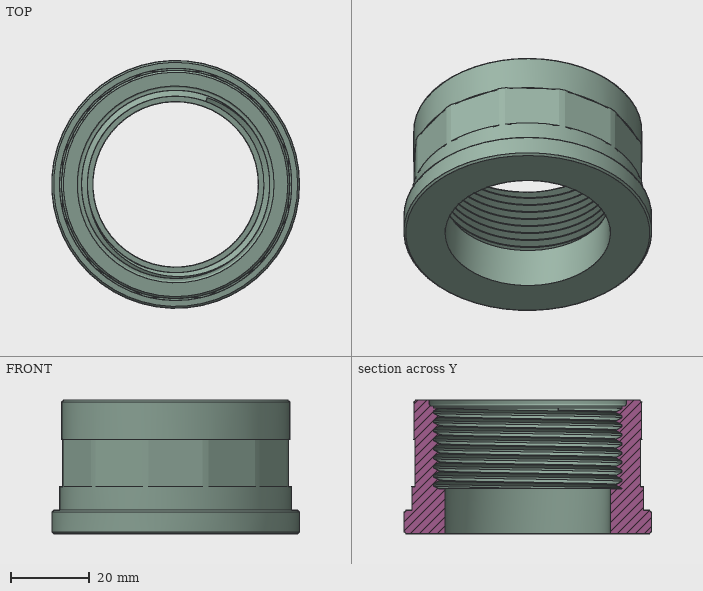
import cadquery as cq
import math

total_height = 34.0
flange_height = 6.0
flats_bottom = 12.0
flats_top = 24.0
seat_floor = 11.5
recess_floor = 32.5
thread_top = 32.0

flange_diameter = 63.0
body_diameter = 59.0
collar_diameter = 58.0
edge_chamfer = 0.5

flat_count = 12
flat_width = 13.7

bore_diameter = 42.0
thread_minor_diameter = 44.84
thread_major_diameter = 47.8
relief_diameter = thread_major_diameter + 0.02
recess_diameter = 50.0
recess_fillet = 0.5

thread_pitch = 25.4 / 11
thread_half_angle = math.radians(27.5)
crest_width = 0.25
thread_end_angle = 70.0
groove_overlap = 0.1


def cylinder(diameter, bottom, top):
    return cq.Workplane("XY").workplane(offset=bottom).circle(diameter / 2).extrude(top - bottom)


def make_outer_body():
    flange = cylinder(flange_diameter, 0, flange_height).faces("<Z or >Z").edges().chamfer(edge_chamfer)
    body = cylinder(body_diameter, 0, flats_top)
    collar = cylinder(collar_diameter, 0, total_height).faces(">Z").edges().chamfer(edge_chamfer)
    return flange.union(cut_flats(body)).union(collar_core(collar))


def collar_core(collar):
    """Keep only the part of the collar above the flats."""
    return collar.cut(cylinder(flange_diameter, 0, flats_top))


def cut_flats(body):
    """Shave evenly spaced flats around the body, one facing each axis."""
    body_radius = body_diameter / 2
    apothem = math.sqrt(body_radius**2 - (flat_width / 2) ** 2)
    prism_diameter = 2 * apothem / math.cos(math.pi / flat_count)
    band = cylinder(flange_diameter, flats_bottom, flats_top)
    prism = (
        cq.Workplane("XY")
        .workplane(offset=flats_bottom)
        .polygon(flat_count, prism_diameter)
        .extrude(flats_top - flats_bottom)
        .rotate((0, 0, 0), (0, 0, 1), 180 / flat_count)
    )
    return body.cut(band.cut(prism))


def make_bore():
    """Stepped opening: through bore, thread core, thread relief and filleted top recess."""
    through_bore = cylinder(bore_diameter, 0, total_height)
    thread_core = cylinder(thread_minor_diameter, seat_floor, total_height)
    relief = cylinder(relief_diameter, thread_top, total_height)
    recess = cylinder(recess_diameter, recess_floor, total_height).faces("<Z").edges().fillet(recess_fillet)
    return through_bore.union(thread_core).union(relief).union(recess)


def make_thread_groove():
    """Right-hand helical groove that ends level with the recess floor."""
    inner_radius = thread_minor_diameter / 2 - groove_overlap
    outer_radius = thread_major_diameter / 2
    thread_depth = (thread_major_diameter - thread_minor_diameter) / 2
    flank_height = thread_depth * math.tan(thread_half_angle)
    root_half = (thread_pitch - 2 * flank_height - crest_width) / 2
    mouth_half = root_half + (outer_radius - inner_radius) * math.tan(thread_half_angle)
    helix_bottom = seat_floor - thread_pitch
    helix_height = recess_floor - helix_bottom
    turns = helix_height / thread_pitch
    helix = cq.Wire.makeHelix(thread_pitch, helix_height, outer_radius)
    groove = (
        cq.Workplane("XZ")
        .moveTo(inner_radius, -mouth_half)
        .lineTo(outer_radius, -root_half)
        .lineTo(outer_radius, root_half)
        .lineTo(inner_radius, mouth_half)
        .close()
        .sweep(cq.Workplane(helix), isFrenet=True)
    )
    start_angle = thread_end_angle - 360 * turns
    groove = groove.rotate((0, 0, 0), (0, 0, 1), start_angle).translate((0, 0, helix_bottom))
    return groove


def make_seat():
    """Ring below the thread that closes the lower end of the groove."""
    return cylinder(collar_diameter, 0, seat_floor).cut(cylinder(bore_diameter, 0, seat_floor))


result = make_outer_body().cut(make_bore()).cut(make_thread_groove()).union(make_seat())